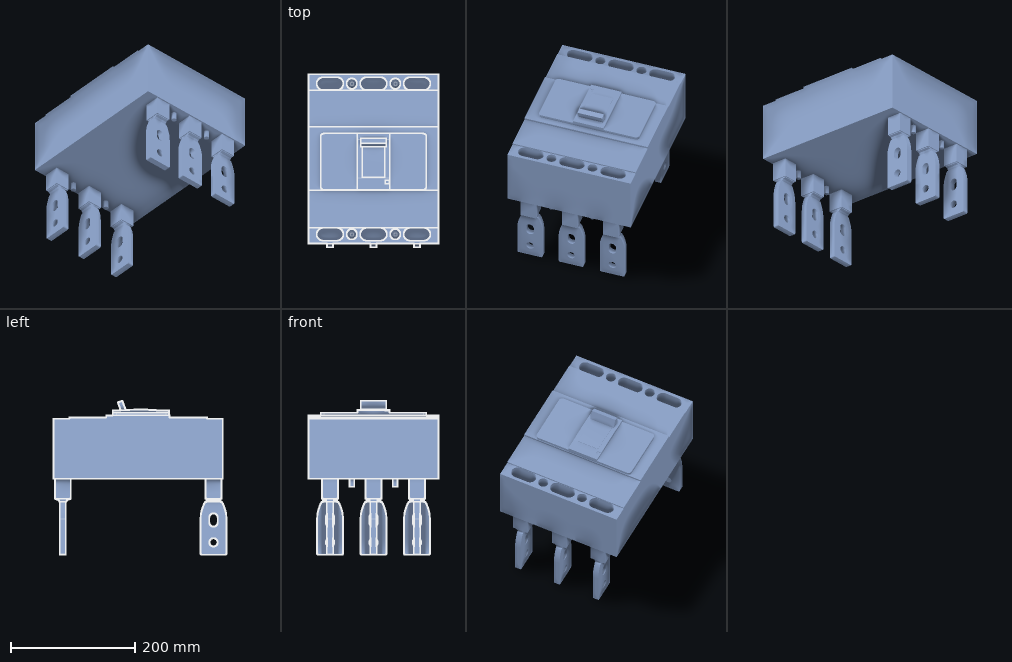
import cadquery as cq


BODY_WIDTH = 210.0
BODY_DEPTH = 273.1
LEDGE_Z = 96.8
DECK_Z = 99.0
DECK_DEPTH = 222.0
MID_Z = 102.0
MID_FRONT = -50.5
MID_BACK = 51.5

PANEL_Z = 106.5
PANEL_WIDTH = 170.7
PANEL_FRONT = -49.7
PANEL_BACK = 41.0
PANEL_CORNER_RADIUS = 5.5
STRIP_Z = 110.2
STRIP_WIDTH = 52.0

GUIDE_FRONT = -30.5
GUIDE_BACK = 31.5
CROWN_RISE = 1.0
SLIDE_WIDTH = 36.3
SLIDE_FRONT = -29.9
SLIDE_BACK = 22.3
SLIDE_LIFT = 0.5

TOP_Z = 125.8
HANDLE_WIDTH = 41.8
HANDLE_THICKNESS = 8.0
HANDLE_TILT = 20.0
HANDLE_TOP_Y = 25.5
HANDLE_LENGTH = 21.0

INDICATOR_X = 22.0
INDICATOR_Y = -37.0
INDICATOR_SIZE = 6.0
INDICATOR_DEPTH = 0.8

POLE_PITCH = 70.0
ROW_Y = 121.5
ROW_YS = [-ROW_Y, ROW_Y]
POLE_XS = [-POLE_PITCH, 0, POLE_PITCH]
SCREW_XS = [-POLE_PITCH / 2, POLE_PITCH / 2]
SCREW_CENTRES = [(x, y) for x in SCREW_XS for y in ROW_YS]

RECESS_DEPTH = 41.8
RECESS_FLOOR_Z = LEDGE_Z - RECESS_DEPTH
SLOT_LENGTH = 43.0
SLOT_WIDTH = 20.5

HEAD_DIAMETER = 16.7
HEAD_HEIGHT = 8.5
HEAD_ROUNDING = 5.5
SHANK_DIAMETER = 8.0
SHANK_PROJECTION = 13.0

BLOCK_SIZE = 26.0
BLOCK_BOTTOM_Z = -31.8
NECK_WIDTH = 23.2
NECK_LIP = 1.0
NECK_WAIST_HALF = 7.3
NECK_WAIST_DROP = 2.5
NECK_HEIGHT = 5.5
BLADE_THICKNESS = 10.0
BLADE_WIDTH = 42.0
BLADE_TOP_WIDTH = 26.5
BLADE_TOP_Z = BLOCK_BOTTOM_Z - NECK_HEIGHT
SHOULDER_MID_HALF = 16.5
SHOULDER_MID_DROP = 5.5
SHOULDER_Z = -64.7
BLADE_BOTTOM_Z = -122.5
BLADE_END_ROUNDING = 2.2
BLADE_HOLE_DIAMETER = 13.0
BLADE_HOLE_Z = -102.5
BLADE_SLOT_LENGTH = 21.0
BLADE_SLOT_Z = -66.5


def block(width, front, back, bottom, top):
    """Box centred on X, between two Y faces and two Z levels."""
    size = (width, back - front, top - bottom)
    return cq.Workplane("XY").box(*size, centered=(True, False, False)).translate((0, front, bottom))


def end_ledges():
    """Full-depth base with the access slots sunk into both end ledges."""
    base = block(BODY_WIDTH, -BODY_DEPTH / 2, BODY_DEPTH / 2, 0, LEDGE_Z)
    slot_centres = [(x, y) for x in POLE_XS for y in ROW_YS]
    slots = (
        cq.Workplane("XY", origin=(0, 0, RECESS_FLOOR_Z))
        .pushPoints(slot_centres)
        .slot2D(SLOT_LENGTH, SLOT_WIDTH)
        .extrude(RECESS_DEPTH)
    )
    return base.cut(slots)


def crowned_block(width, front, back, edge_z):
    """Block standing on the panel whose top is a shallow arc along Y."""
    return (
        cq.Workplane("YZ", origin=(-width / 2, 0, 0))
        .moveTo(front, PANEL_Z)
        .lineTo(front, edge_z)
        .threePointArc(((front + back) / 2, edge_z + CROWN_RISE), (back, edge_z))
        .lineTo(back, PANEL_Z)
        .close()
        .extrude(width)
    )


def cover_panel():
    """Rounded panel with the raised strip, guide, slide and indicator pocket."""
    panel = block(PANEL_WIDTH, PANEL_FRONT, PANEL_BACK, MID_Z, PANEL_Z)
    panel = panel.edges("|Z").fillet(PANEL_CORNER_RADIUS)
    strip = block(STRIP_WIDTH, PANEL_FRONT, PANEL_BACK, MID_Z, STRIP_Z)
    indicator = cq.Workplane("XY").box(INDICATOR_SIZE, INDICATOR_SIZE, 2 * INDICATOR_DEPTH)
    strip = strip.cut(indicator.translate((INDICATOR_X, INDICATOR_Y, STRIP_Z)))
    guide = crowned_block(STRIP_WIDTH, GUIDE_FRONT, GUIDE_BACK, STRIP_Z)
    slide = crowned_block(SLIDE_WIDTH, SLIDE_FRONT, SLIDE_BACK, STRIP_Z + SLIDE_LIFT)
    return panel.union(strip).union(guide).union(slide)


def handle():
    """Flat plate leaning back; its upper front edge is the highest point."""
    plate = cq.Workplane("XY").box(
        HANDLE_WIDTH, HANDLE_THICKNESS, HANDLE_LENGTH, centered=(True, False, False)
    )
    plate = plate.translate((0, 0, -HANDLE_LENGTH))
    return plate.rotate((0, 0, 0), (1, 0, 0), -HANDLE_TILT).translate((0, HANDLE_TOP_Y, TOP_Z))


def terminal():
    """Plug-in terminal with its broad faces across Y, centred on the Z axis."""
    half_block = BLOCK_SIZE / 2
    half_blade = BLADE_THICKNESS / 2
    post = block(BLOCK_SIZE, -half_block, half_block, BLOCK_BOTTOM_Z, 0)

    half_neck = NECK_WIDTH / 2
    lip_z = BLOCK_BOTTOM_Z - NECK_LIP
    waist_z = BLOCK_BOTTOM_Z - NECK_WAIST_DROP
    neck = (
        cq.Workplane("YZ", origin=(-half_neck, 0, 0))
        .polyline(
            [
                (-half_neck, BLOCK_BOTTOM_Z),
                (-half_neck, lip_z),
                (-NECK_WAIST_HALF, waist_z),
                (-half_blade, BLADE_TOP_Z),
                (half_blade, BLADE_TOP_Z),
                (NECK_WAIST_HALF, waist_z),
                (half_neck, lip_z),
                (half_neck, BLOCK_BOTTOM_Z),
            ]
        )
        .close()
        .extrude(NECK_WIDTH)
    )

    blade = terminal_blade()
    return post.union(neck).union(blade)


def terminal_blade():
    """Flat blade with curved shoulders, a long hole, a round hole and rounded lower corners."""
    half_blade = BLADE_THICKNESS / 2
    half_width = BLADE_WIDTH / 2
    half_top = BLADE_TOP_WIDTH / 2
    shoulder_mid_z = BLADE_TOP_Z - SHOULDER_MID_DROP
    blade_plane = cq.Workplane("XZ", origin=(0, half_blade, 0))
    blade = (
        blade_plane.moveTo(-half_width, BLADE_BOTTOM_Z)
        .lineTo(-half_width, SHOULDER_Z)
        .spline(
            [(-SHOULDER_MID_HALF, shoulder_mid_z), (-half_top, BLADE_TOP_Z)],
            tangents=[(0, 1), (1, 1)],
            includeCurrent=True,
        )
        .lineTo(half_top, BLADE_TOP_Z)
        .spline(
            [(SHOULDER_MID_HALF, shoulder_mid_z), (half_width, SHOULDER_Z)],
            tangents=[(1, -1), (0, -1)],
            includeCurrent=True,
        )
        .lineTo(half_width, BLADE_BOTTOM_Z)
        .close()
        .extrude(BLADE_THICKNESS)
        .edges("|Y and <Z")
        .fillet(BLADE_END_ROUNDING)
    )
    hole_plane = cq.Workplane("XZ", origin=(0, half_blade, BLADE_HOLE_Z))
    round_hole = hole_plane.circle(BLADE_HOLE_DIAMETER / 2).extrude(BLADE_THICKNESS)
    slot_plane = cq.Workplane("XZ", origin=(0, half_blade, BLADE_SLOT_Z))
    long_hole = slot_plane.slot2D(BLADE_SLOT_LENGTH, BLADE_HOLE_DIAMETER, 90).extrude(BLADE_THICKNESS)
    return blade.cut(round_hole).cut(long_hole)


def screw_bore():
    """Stepped bore through an end ledge for one screw."""
    seat = cq.Workplane("XY", origin=(0, 0, RECESS_FLOOR_Z))
    head_bore = seat.circle(HEAD_DIAMETER / 2).extrude(RECESS_DEPTH)
    shank_bore = cq.Workplane("XY").circle(SHANK_DIAMETER / 2).extrude(RECESS_FLOOR_Z)
    return head_bore.union(shank_bore)


def make_housing():
    """Case, cover, handle and terminals as one solid."""
    body = end_ledges()
    body = body.union(block(BODY_WIDTH, -DECK_DEPTH / 2, DECK_DEPTH / 2, 0, DECK_Z))
    body = body.union(block(BODY_WIDTH, MID_FRONT, MID_BACK, 0, MID_Z))
    body = body.union(cover_panel()).union(handle())
    back_terminal = terminal()
    front_terminal = back_terminal.rotate((0, 0, 0), (0, 0, 1), 90)
    for x in POLE_XS:
        body = body.union(back_terminal.translate((x, ROW_Y, 0)))
        body = body.union(front_terminal.translate((x, -ROW_Y, 0)))
    bore = screw_bore()
    for x, y in SCREW_CENTRES:
        body = body.cut(bore.translate((x, y, 0)))
    return body


def make_screw():
    """Round-topped screw seated on the bore step, its shank reaching below the case."""
    head = (
        cq.Workplane("XY", origin=(0, 0, RECESS_FLOOR_Z))
        .circle(HEAD_DIAMETER / 2)
        .extrude(HEAD_HEIGHT)
        .faces(">Z")
        .edges()
        .fillet(HEAD_ROUNDING)
    )
    shank_length = RECESS_FLOOR_Z + SHANK_PROJECTION
    tip = cq.Workplane("XY", origin=(0, 0, -SHANK_PROJECTION))
    shank = tip.circle(SHANK_DIAMETER / 2).extrude(shank_length)
    return head.union(shank)


housing = make_housing()
screws = [make_screw().translate((x, y, 0)) for x, y in SCREW_CENTRES]

result = cq.Compound.makeCompound([housing.val(), *[screw.val() for screw in screws]])